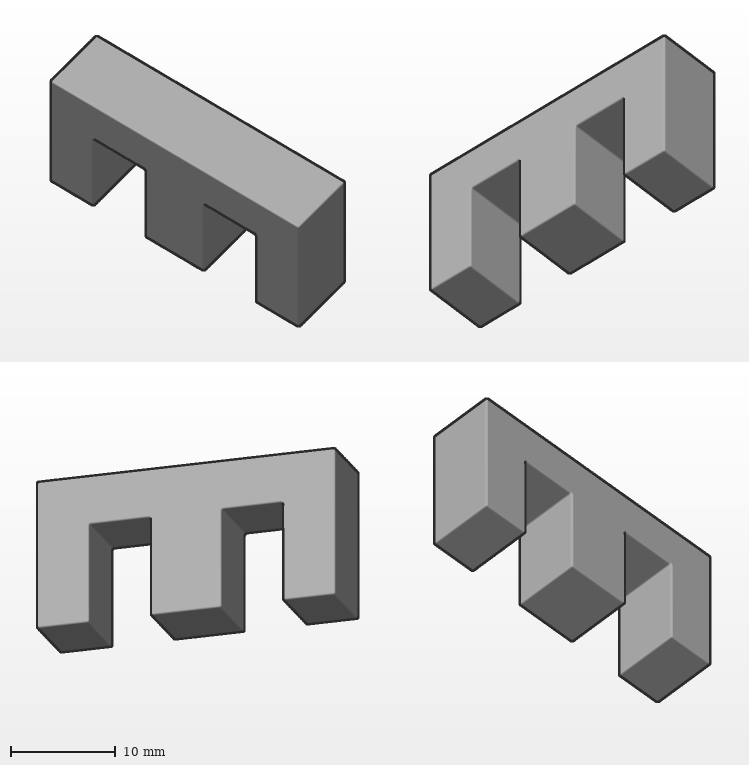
import cadquery as cq

length = 30.1
depth = 7.3
height = 15.0

center_leg_width = 7.15
slot_width = 6.17
back_thickness = 5.0

edge_radius = 0.2
slot_corner_radius = 0.2

slot_height = height - back_thickness
slot_offset = (center_leg_width + slot_width) / 2


def make_slot(center_x):
    """Slot open at the bottom, with rounded upper corners."""
    slot = cq.Workplane("XY").box(slot_width, depth, slot_height, centered=(True, True, False))
    return slot.edges("|Y and >Z").fillet(slot_corner_radius).translate((center_x, 0, 0))


core = cq.Workplane("XY").box(length, depth, height, centered=(True, True, False))
for side in (-1, 1):
    core = core.cut(make_slot(side * slot_offset))

rim_edges = core.faces("<Y or >Y or <Z or >Z").edges()
side_edges = core.edges("|Z and (<X or >X)")
result = core.newObject(rim_edges.vals() + side_edges.vals()).fillet(edge_radius)